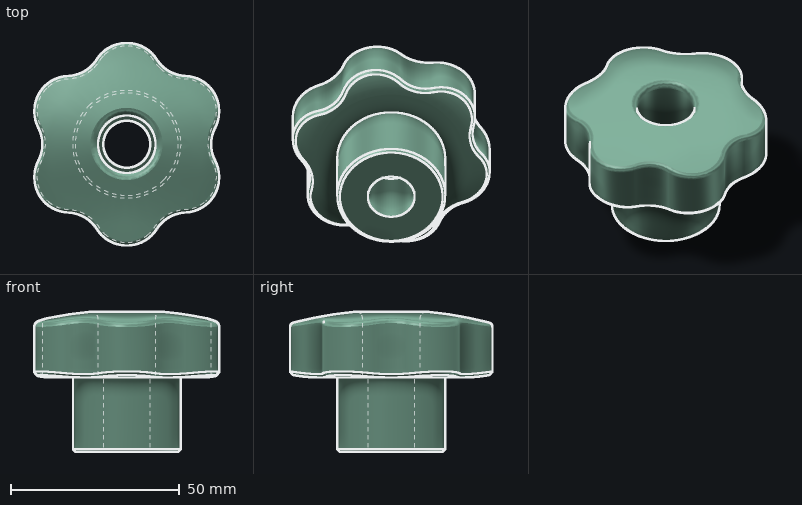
import cadquery as cq
import math


lobe_count = 6
head_radius = 30.0
lobe_radius = 10.5
valley_radius = 10.5

hub_height = 22.0
head_height = 20.0

dome_radius = 115.0
top_edge_fillet = 1.5
bottom_flat_radius = 22.0
bottom_curve_radius = 35.0
bottom_edge_chamfer = 0.9

hub_diameter = 32.0
hub_chamfer = 0.8
bore_diameter = 13.84
counterbore_diameter = 17.0
counterbore_mouth_fillet = 2.0

apex_height = hub_height + head_height
counterbore_floor = hub_height
blank_margin = 2.0
blank_radius = head_radius + blank_margin
lobe_center_radius = head_radius - lobe_radius
half_pitch = math.pi / lobe_count
valley_center_radius = lobe_center_radius * math.cos(half_pitch) + math.sqrt(
    (lobe_radius + valley_radius) ** 2 - (lobe_center_radius * math.sin(half_pitch)) ** 2
)
valley_floor_radius = valley_center_radius - valley_radius


def polar(radius, angle):
    return (radius * math.cos(angle), radius * math.sin(angle))


def tangent_point(lobe_angle, valley_angle):
    """Point where a lobe arc runs smoothly into the valley arc beside it."""
    lobe_x, lobe_y = polar(lobe_center_radius, lobe_angle)
    valley_x, valley_y = polar(valley_center_radius, valley_angle)
    share = lobe_radius / (lobe_radius + valley_radius)
    return (lobe_x + share * (valley_x - lobe_x), lobe_y + share * (valley_y - lobe_y))


def star_prism():
    """Prism of tangent lobe and valley arcs, with one lobe pointing along +Y."""
    first_lobe = math.pi / 2.0
    outline = cq.Workplane("XY").workplane(offset=hub_height)
    outline = outline.moveTo(*tangent_point(first_lobe, first_lobe - half_pitch))
    for index in range(lobe_count):
        lobe = first_lobe + 2.0 * half_pitch * index
        valley = lobe + half_pitch
        next_lobe = valley + half_pitch
        outline = outline.threePointArc(polar(head_radius, lobe), tangent_point(lobe, valley))
        outline = outline.threePointArc(polar(valley_floor_radius, valley), tangent_point(next_lobe, valley))
    return outline.close().extrude(head_height)


def dome_height(radius):
    return apex_height - dome_radius + math.sqrt(dome_radius**2 - radius**2)


def underside_height(radius):
    """Height of the curved underside, outside its flat middle."""
    reach = radius - bottom_flat_radius
    return hub_height + bottom_curve_radius - math.sqrt(bottom_curve_radius**2 - reach**2)


def crowned_blank():
    """Turned disc with a domed top and an underside that curves up near its rim."""
    middle_radius = blank_radius / 2.0
    curve_middle = (bottom_flat_radius + blank_radius) / 2.0
    return (
        cq.Workplane("XZ")
        .moveTo(0, hub_height)
        .lineTo(bottom_flat_radius, hub_height)
        .threePointArc(
            (curve_middle, underside_height(curve_middle)),
            (blank_radius, underside_height(blank_radius)),
        )
        .lineTo(blank_radius, dome_height(blank_radius))
        .threePointArc((middle_radius, dome_height(middle_radius)), (0, apex_height))
        .close()
        .revolve(360, (0, 0, 0), (0, 1, 0))
    )


def make_head():
    head = star_prism().intersect(crowned_blank())
    head = head.faces(">Z").edges().fillet(top_edge_fillet)
    rim_inner_radius = (bottom_flat_radius + valley_floor_radius) / 2.0
    lower_rim = cq.selectors.BoxSelector(
        (-blank_radius, -blank_radius, underside_height(rim_inner_radius)),
        (blank_radius, blank_radius, hub_height + head_height / 4.0),
    )
    return head.edges(lower_rim).chamfer(bottom_edge_chamfer)


def make_hub():
    hub = cq.Workplane("XY").circle(hub_diameter / 2.0).extrude(hub_height)
    return hub.faces("<Z").edges().chamfer(hub_chamfer)


def cut_bore(body):
    bore = cq.Workplane("XY").circle(bore_diameter / 2.0).extrude(apex_height)
    counterbore = (
        cq.Workplane("XY")
        .workplane(offset=counterbore_floor)
        .circle(counterbore_diameter / 2.0)
        .extrude(head_height)
    )
    body = body.cut(bore).cut(counterbore)
    counterbore_mouth = body.edges(">Z")
    return counterbore_mouth.fillet(counterbore_mouth_fillet)


result = cut_bore(make_head().union(make_hub()))